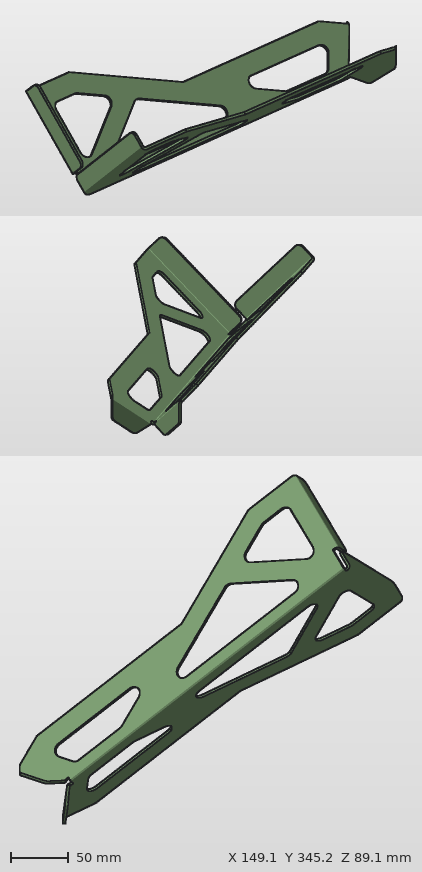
import cadquery as cq
import math

thickness = 2.5
outer_radius = 3.8
inner_radius = outer_radius - thickness

root_two = math.sqrt(2)
overall_width = 149.07
wide_u = overall_width / root_two
narrow_u = 56.7
wide_end_y = 51.5
taper = root_two / 3
taper_length = math.hypot(1, taper)
narrow_start_y = wide_end_y + (wide_u - narrow_u) / taper
narrow_end_y = 317.0
centre_bend_end_y = 312.0
rear_slot_u = 5.0

front_flange_height = 20.0
flange_gap = 2.7
flange_corner_radius = 5.0
left_flange_start_u = front_flange_height + flange_gap
left_relief_y = 5.2

overall_length = 345.23
rear_offset = 316.0
rear_bend_angle = math.radians(60)
rear_flange_width = 15.1
rear_end_cut_angle = math.radians(57)
rear_slope = 1 / root_two
bend_setback = outer_radius * math.tan(rear_bend_angle / 2)

strip_length = 80.0
strip_width = 1.5 * rear_flange_width
outline_rise = 20.0
outline_half_depth = 30.0

margin = 19.2
window_radius = 6.5
window_inner_u = 12.3
rear_window_start_y = 248.5
rear_window_end_y = 299.0
middle_window_start_y = 33.3
brace_slope = 1 / root_two
brace_width = 18.0

LEG = cq.Plane(origin=(0, 0, 0), xDir=(1, 0, 1), normal=(-1, 0, 1))


def leg_plate(points):
    """Flat piece of the right leg from its (u, y) corners."""
    return cq.Workplane(LEG).polyline(points).close().extrude(thickness)


def window(points):
    """Cutter for a rounded window in the right leg from its (u, y) corners."""
    through_edges = cq.selectors.ParallelDirSelector(LEG.zDir)
    return leg_plate(points).edges(through_edges).fillet(window_radius)


def inset_taper_u(y):
    """u at y on the line one margin inside the long tapered edge."""
    return wide_u - taper * (y - wide_end_y) - margin * taper_length


def inset_taper_y(u):
    """y at u on the line one margin inside the long tapered edge."""
    return wide_end_y + (wide_u - margin * taper_length - u) / taper


def brace_u(y, start_u):
    """u at y on a brace edge that passes start_u at the start of the middle window."""
    return start_u + brace_slope * (y - middle_window_start_y)


def brace_apex_y(start_u):
    """y where a brace edge meets the line inside the tapered edge."""
    return (inset_taper_u(0) - brace_u(0, start_u)) / (taper + brace_slope)


def rear_edge_y(u):
    """y of the line where the rear bend starts."""
    inner_face_y = rear_offset + (u - thickness) * rear_slope
    return inner_face_y - bend_setback * math.hypot(1, rear_slope)


def rear_window():
    outer_u = narrow_u - margin
    rise = outer_u - window_inner_u
    return window([
        (window_inner_u, rear_window_start_y),
        (window_inner_u, rear_window_end_y),
        (outer_u, rear_window_end_y + rise * rear_slope),
        (outer_u, rear_window_start_y - rise / taper),
    ])


def middle_window():
    apex_y = brace_apex_y(window_inner_u)
    return window([
        (window_inner_u, middle_window_start_y),
        (inset_taper_u(apex_y), apex_y),
        (window_inner_u, inset_taper_y(window_inner_u)),
    ])


def front_window():
    outer_u = wide_u - margin
    start_u = window_inner_u + brace_width * math.hypot(1, brace_slope)
    apex_y = brace_apex_y(start_u)
    return window([
        (brace_u(margin, start_u), margin),
        (outer_u, margin),
        (outer_u, inset_taper_y(outer_u)),
        (brace_u(apex_y, start_u), apex_y),
    ])


def leg():
    """Right leg between its bends, with its windows."""
    tip_u = (narrow_u + taper * (narrow_end_y - rear_edge_y(0))) / (1 + taper * rear_slope)
    body = leg_plate([
        (outer_radius, outer_radius),
        (wide_u, outer_radius),
        (wide_u, wide_end_y),
        (narrow_u, narrow_start_y),
        (narrow_u, narrow_end_y),
        (tip_u, rear_edge_y(tip_u)),
        (rear_slot_u, rear_edge_y(rear_slot_u)),
        (rear_slot_u, centre_bend_end_y),
        (outer_radius, centre_bend_end_y),
    ])
    return body.cut(rear_window()).cut(middle_window()).cut(front_window())


def front_flange(start_u):
    """Bend and flange across the front of the right leg, from start_u to the leg edge."""
    plane = cq.Plane(
        origin=LEG.toWorldCoords((start_u, 0, 0)), xDir=(0, 1, 0), normal=(1, 0, 1)
    )
    outer_mid = outer_radius - outer_radius / root_two
    inner_mid = outer_radius - inner_radius / root_two
    flange = (
        cq.Workplane(plane)
        .moveTo(outer_radius, 0)
        .threePointArc((outer_mid, outer_mid), (0, outer_radius))
        .lineTo(0, front_flange_height)
        .lineTo(thickness, front_flange_height)
        .lineTo(thickness, outer_radius)
        .threePointArc((inner_mid, inner_mid), (outer_radius, thickness))
        .close()
        .extrude(wide_u - start_u)
    )
    free_edge = cq.selectors.DirectionMinMaxSelector(LEG.zDir)
    return flange.faces(free_edge).edges("|Y").fillet(flange_corner_radius)


def rear_strip(origin):
    """Untrimmed rear bend and flange, swept along the bend line."""
    plane = cq.Plane(origin=origin, xDir=(-1, 2, -1), normal=(1, 1, 1))

    def bend_point(radius, angle):
        return radius * math.sin(angle), radius * math.cos(angle) - inner_radius

    def free_end(radius):
        x, y = bend_point(radius, rear_bend_angle)
        return (
            x + strip_width * math.cos(rear_bend_angle),
            y - strip_width * math.sin(rear_bend_angle),
        )

    half_angle = rear_bend_angle / 2
    return (
        cq.Workplane(plane)
        .moveTo(*bend_point(inner_radius, 0))
        .lineTo(*bend_point(outer_radius, 0))
        .threePointArc(bend_point(outer_radius, half_angle), bend_point(outer_radius, rear_bend_angle))
        .lineTo(*free_end(outer_radius))
        .lineTo(*free_end(inner_radius))
        .lineTo(*bend_point(inner_radius, rear_bend_angle))
        .threePointArc(bend_point(inner_radius, half_angle), bend_point(inner_radius, 0))
        .close()
        .extrude(strip_length)
    )


def rear_outline(origin):
    """Prism that trims the rear flange to its outline."""
    face = cq.Plane(origin=origin, xDir=(1, 1, 1), normal=(1, -1, 0))
    tip_x_plus_y = overall_length + (overall_length - rear_offset)
    tip_run = (tip_x_plus_y - origin.x - origin.y) * math.sqrt(3) / 2
    lean = 1 / root_two
    outline = (
        cq.Workplane(face)
        .polyline([
            (0, outline_rise),
            (0, 0),
            (rear_flange_width / math.tan(rear_end_cut_angle), -rear_flange_width),
            (tip_run - rear_flange_width * lean, -rear_flange_width),
            (tip_run + outline_rise * lean, outline_rise),
        ])
        .close()
        .extrude(outline_half_depth, both=True)
    )
    free_edge = cq.selectors.DirectionMinMaxSelector(face.yDir, False)
    through_edges = cq.selectors.ParallelDirSelector(face.zDir)
    return outline.faces(free_edge).edges(through_edges).fillet(flange_corner_radius)


def rear_flange():
    """Rear bend and flange of the right leg, starting beside the rear slot."""
    origin = LEG.toWorldCoords((rear_slot_u, rear_edge_y(rear_slot_u), 0))
    return rear_strip(origin).intersect(rear_outline(origin))


def centre_bend():
    """Round bend joining the two legs."""
    centre_z = outer_radius * root_two

    def arc_points(radius):
        reach = radius / root_two
        return (-reach, centre_z - reach), (0, centre_z - radius), (reach, centre_z - reach)

    outer_left, outer_mid, outer_right = arc_points(outer_radius)
    inner_left, inner_mid, inner_right = arc_points(inner_radius)
    return (
        cq.Workplane("XZ", origin=(0, left_relief_y, 0))
        .moveTo(*outer_left)
        .threePointArc(outer_mid, outer_right)
        .lineTo(*inner_right)
        .threePointArc(inner_mid, inner_left)
        .close()
        .extrude(left_relief_y - centre_bend_end_y)
    )


def relief():
    """Cutter that sets the leg's front edge back where it has no flange."""
    return leg_plate([
        (0, 0),
        (left_flange_start_u, 0),
        (left_flange_start_u, left_relief_y),
        (0, left_relief_y),
    ])


plain_side = leg().union(rear_flange())
right_side = plain_side.union(front_flange(outer_radius))
left_side = plain_side.cut(relief()).union(front_flange(left_flange_start_u)).mirror("YZ")
result = right_side.union(centre_bend()).union(left_side)